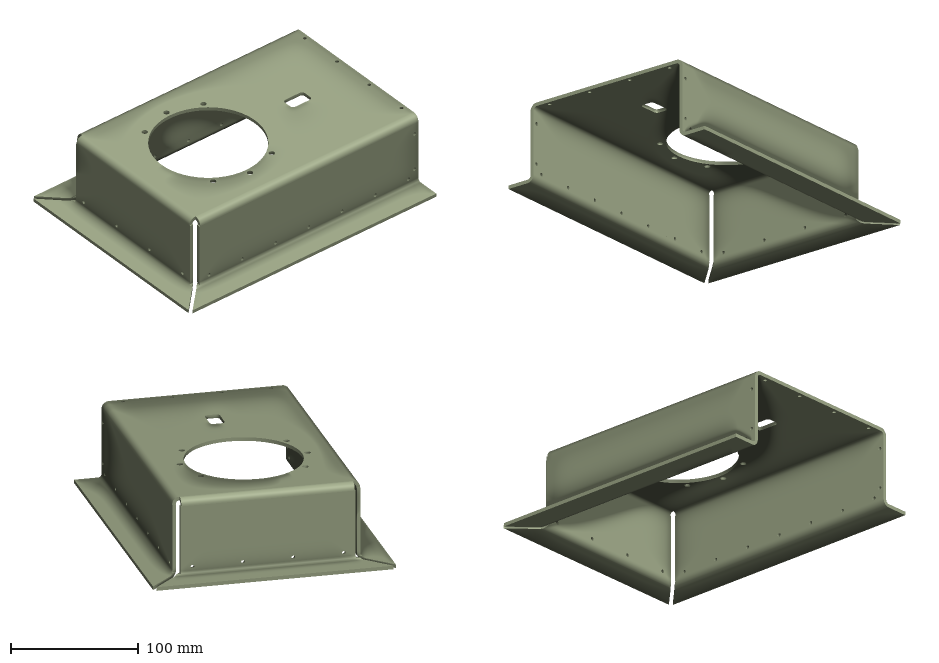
import cadquery as cq
import math

width = 196.0
length = 248.0
height = 66.0
sheet = 3.0
flange_width = 22.0
inner_radius = 3.0
outer_radius = inner_radius + sheet
half_width = width / 2
back_y = length / 2

corner_setback = 5.2
miter_rise = 1.0
miter_gap = 3.2

rivet_diameter = 3.0
rivet_height = 9.0
end_rivet_count = 4
front_rivet_pitch = 40.7
top_rivet_pitch = 40.0
side_rivet_pitch = 33.5
side_rivet_count = 7
side_rivet_start = 10.2
back_edge_inset = 4.0
back_rivet_heights = (15.9, 49.8)

opening_diameter = 94.0
opening_from_back = 150.0
screw_diameter = 5.0
screw_circle_radius = 51.5
screw_angles = (-35, 0, 35, 145, 180, 215)

window_width = 12.2
window_length = 20.0
window_corner_radius = 3.0
window_from_back = 60.0

wall_x = half_width - flange_width
front_wall_y = -back_y + flange_width
bend_x = wall_x - outer_radius
bend_y = front_wall_y + outer_radius
wall_end_x = wall_x - corner_setback
wall_end_y = front_wall_y + corner_setback
flange_bend_top = sheet + inner_radius
miter_shift = miter_gap * math.sqrt(0.5)


def wall_profile(plane):
    """Section of top bend, wall, bottom bend and flange, from the bend line outward."""
    diagonal = math.sqrt(0.5)
    wall_out = outer_radius
    wall_in = wall_out - sheet
    upper_z = height - outer_radius
    flange_start = wall_out + inner_radius
    flange_end = wall_out + flange_width
    return (
        cq.Workplane(plane)
        .moveTo(0, height)
        .threePointArc((outer_radius * diagonal, upper_z + outer_radius * diagonal), (wall_out, upper_z))
        .lineTo(wall_out, flange_bend_top)
        .threePointArc(
            (flange_start - inner_radius * diagonal, flange_bend_top - inner_radius * diagonal),
            (flange_start, sheet),
        )
        .lineTo(flange_end, sheet)
        .lineTo(flange_end, 0)
        .lineTo(flange_start, 0)
        .threePointArc(
            (flange_start - outer_radius * diagonal, flange_bend_top - outer_radius * diagonal),
            (wall_in, flange_bend_top),
        )
        .lineTo(wall_in, upper_z)
        .threePointArc((inner_radius * diagonal, upper_z + inner_radius * diagonal), (0, height - sheet))
        .close()
    )


def prism(points, z_min, z_max):
    """Upright block with the given plan outline."""
    return cq.Workplane("XY").workplane(offset=z_min).polyline(points).close().extrude(z_max - z_min)


def trim_wall(wall, flange_outline, wall_outline, bend_outline):
    """Limit the mitred flange, the square wall end and the top bend to their plan outlines."""
    bend_bottom = height - outer_radius
    miter_top = sheet + miter_rise
    envelope = (
        prism(flange_outline, 0, miter_top)
        .union(prism(wall_outline, miter_top, bend_bottom))
        .union(prism(bend_outline, bend_bottom, height))
    )
    return wall.intersect(envelope)


def side_rectangle(front_y):
    """Plan area of the right-hand wall, from the back edge to front_y."""
    return [(bend_x, back_y), (half_width, back_y), (half_width, front_y), (bend_x, front_y)]


def front_rectangle(half_span):
    """Plan area of the front wall, spanning half_span to each side."""
    return [(-half_span, bend_y), (half_span, bend_y), (half_span, -back_y), (-half_span, -back_y)]


def right_wall():
    plane = cq.Plane(origin=(bend_x, back_y, 0), xDir=(1, 0, 0), normal=(0, -1, 0))
    flange_outline = [
        (bend_x, back_y),
        (half_width, back_y),
        (half_width, -back_y + miter_shift),
        (bend_x, bend_y + miter_shift),
    ]
    return trim_wall(
        wall_profile(plane).extrude(length),
        flange_outline,
        side_rectangle(wall_end_y),
        side_rectangle(bend_y),
    )


def front_wall():
    plane = cq.Plane(origin=(half_width, bend_y, 0), xDir=(0, -1, 0), normal=(-1, 0, 0))
    flange_outline = [
        (-bend_x + miter_shift, bend_y),
        (bend_x - miter_shift, bend_y),
        (half_width - miter_shift, -back_y),
        (-half_width + miter_shift, -back_y),
    ]
    return trim_wall(
        wall_profile(plane).extrude(width),
        flange_outline,
        front_rectangle(wall_end_x),
        front_rectangle(bend_x),
    )


def top_panel():
    outline = [(-bend_x, back_y), (bend_x, back_y), (bend_x, bend_y), (-bend_x, bend_y)]
    return prism(outline, height - sheet, height)


def row(count, pitch):
    """Positions of a row of holes centred on zero."""
    return [(i - (count - 1) / 2) * pitch for i in range(count)]


def top_cutters():
    """Opening, screw holes, window and back-edge rivet holes of the top panel."""
    opening_y = back_y - opening_from_back
    screw_points = [
        (
            screw_circle_radius * math.cos(math.radians(angle)),
            opening_y + screw_circle_radius * math.sin(math.radians(angle)),
        )
        for angle in screw_angles
    ]
    rivet_points = [(x, back_y - back_edge_inset) for x in row(end_rivet_count, top_rivet_pitch)]
    base = cq.Workplane("XY").workplane(offset=height - sheet)
    opening = base.center(0, opening_y).circle(opening_diameter / 2).extrude(sheet)
    screws = base.pushPoints(screw_points).circle(screw_diameter / 2).extrude(sheet)
    rivets = base.pushPoints(rivet_points).circle(rivet_diameter / 2).extrude(sheet)
    window = (
        base.center(0, back_y - window_from_back)
        .rect(window_width, window_length)
        .extrude(sheet)
        .edges("|Z")
        .fillet(window_corner_radius)
    )
    return [opening, screws, rivets, window]


def side_rivets():
    """Rivet holes along the foot and the back edge, through both side walls."""
    points = [(back_y - side_rivet_start - i * side_rivet_pitch, rivet_height) for i in range(side_rivet_count)]
    points += [(back_y - back_edge_inset, z) for z in back_rivet_heights]
    return cq.Workplane("YZ").pushPoints(points).circle(rivet_diameter / 2).extrude(wall_x, both=True)


def front_rivets():
    """Rivet holes along the foot of the front wall."""
    points = [(x, rivet_height) for x in row(end_rivet_count, front_rivet_pitch)]
    plane = cq.Plane(origin=(0, front_wall_y, 0), xDir=(1, 0, 0), normal=(0, -1, 0))
    return cq.Workplane(plane).pushPoints(points).circle(rivet_diameter / 2).extrude(-sheet)


side_wall = right_wall()
result = top_panel().union(front_wall()).union(side_wall).union(side_wall.mirror("YZ"))
for cutter in top_cutters() + [side_rivets(), front_rivets()]:
    result = result.cut(cutter)